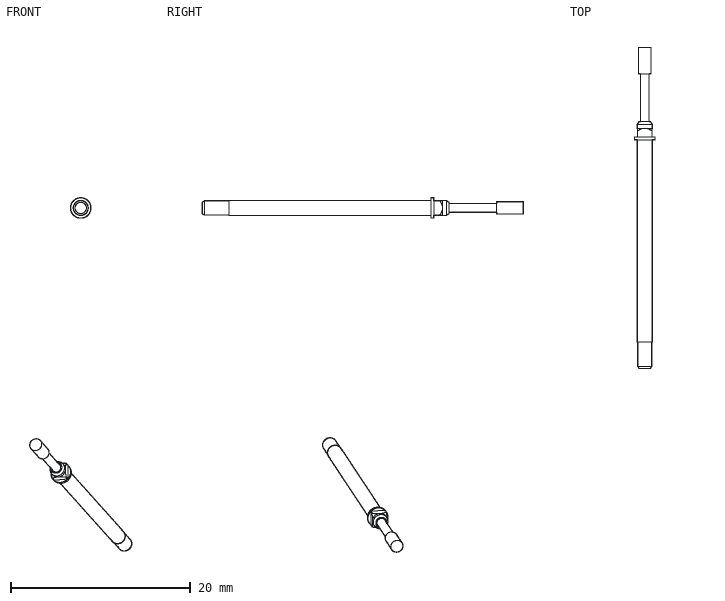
import cadquery as cq

length = 35.8

head_diameter = 1.4
shank_diameter = 1.0
neck_diameter = 1.7
barrel_diameter = 1.7
flange_diameter = 2.3

head_length = 2.97
shank_length = 5.3
neck_chamfer_length = 0.32
neck_chamfer_depth = 0.2
neck_length = 0.43
square_length = 0.95
flange_thickness = 0.32

square_side = 1.65
corner_cone_length = 0.3

tail_length = 2.97
tail_diameter = 1.6
tail_chamfer_length = 0.25
tail_chamfer_depth = 0.18

front_end = length / 2
head_back = front_end - head_length
shank_back = head_back - shank_length
neck_front = shank_back - neck_chamfer_length
neck_back = neck_front - neck_length
flange_front = neck_back - square_length
flange_back = flange_front - flange_thickness
rear_end = -length / 2
tail_front = rear_end + tail_length


def revolve_profile(outline):
    """Turn an outline of (radius, y) points, ending on the axis at both ends, about Y."""
    return cq.Workplane("XY").polyline(outline).close().revolve(360, (0, 0), (0, 1))


def make_plunger():
    """Head, thin shank and chamfered neck."""
    return revolve_profile([
        (0, front_end),
        (head_diameter / 2, front_end),
        (head_diameter / 2, head_back),
        (shank_diameter / 2, head_back),
        (shank_diameter / 2, shank_back),
        (neck_diameter / 2 - neck_chamfer_depth, shank_back),
        (neck_diameter / 2, neck_front),
        (neck_diameter / 2, neck_back),
        (0, neck_back),
    ])


def make_square():
    """Square section whose corners start on a cone and end within the flange diameter."""
    block = (
        cq.Workplane("XY")
        .box(square_side, square_length, square_side)
        .translate((0, (neck_back + flange_front) / 2, 0))
    )
    corner_relief = revolve_profile([
        (0, neck_back),
        (neck_diameter / 2, neck_back),
        (flange_diameter / 2, neck_back - corner_cone_length),
        (flange_diameter / 2, flange_front),
        (0, flange_front),
    ])
    return block.intersect(corner_relief)


def make_barrel():
    """Flange, long barrel and chamfered tail."""
    return revolve_profile([
        (0, flange_front),
        (flange_diameter / 2, flange_front),
        (flange_diameter / 2, flange_back),
        (barrel_diameter / 2, flange_back),
        (barrel_diameter / 2, tail_front),
        (tail_diameter / 2, tail_front),
        (tail_diameter / 2, rear_end + tail_chamfer_length),
        (tail_diameter / 2 - tail_chamfer_depth, rear_end),
        (0, rear_end),
    ])


result = make_plunger().union(make_square()).union(make_barrel())